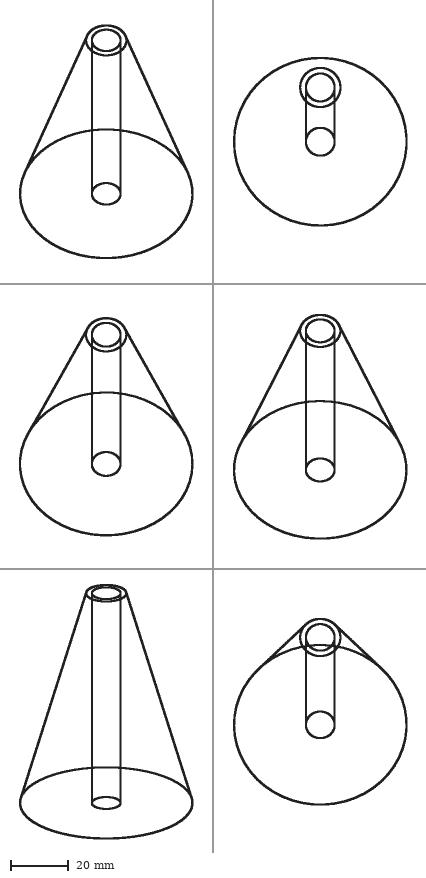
import cadquery as cq

base_diameter = 60.0
top_diameter = 14.0
height = 80.0
bore_diameter = 10.0


def make_cone():
    """Solid truncated cone, wide end on the XY plane."""
    half_section = [
        (0, 0),
        (base_diameter / 2, 0),
        (top_diameter / 2, height),
        (0, height),
    ]
    return cq.Workplane("XZ").polyline(half_section).close().revolve(360, (0, 0), (0, 1))


def make_bore():
    """Cylinder that cuts the through bore."""
    return cq.Workplane("XY").circle(bore_diameter / 2).extrude(height)


result = make_cone().cut(make_bore())